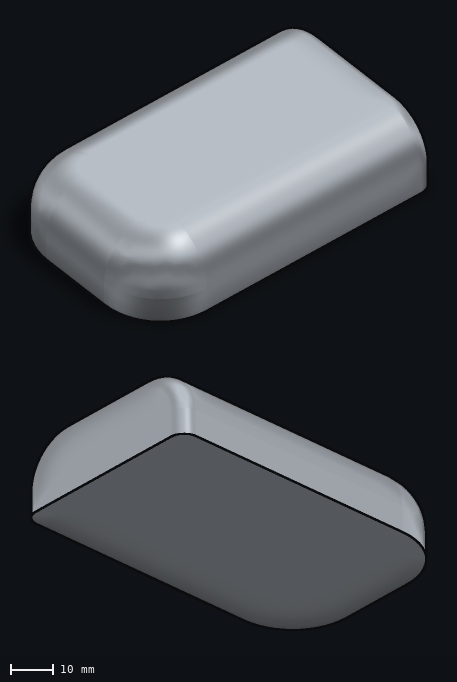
import cadquery as cq

width = 56.0
length = 88.0
height = 21.0

wall_height = 7.0
top_radius = height - wall_height
front_corner_radius = 17.3
back_radius = 4.2

body = cq.Workplane("XY").box(width, length, height, centered=(True, True, False))

body = body.edges("|Z and <Y").fillet(front_corner_radius)

body = body.faces(">Z").edges("not(>Y)").fillet(top_radius)

result = body.faces(">Y").edges("not(<Z)").fillet(back_radius)